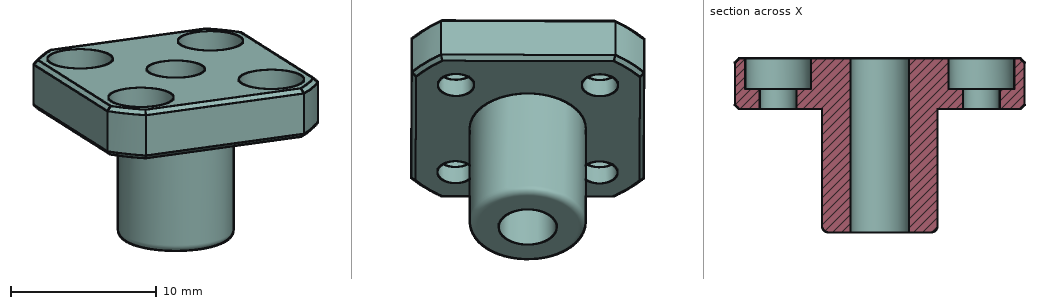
import cadquery as cq

corner_diameter = 20.0
square_side = 16.0
flange_thickness = 3.5
flange_chamfer = 0.3

total_height = 12.0
boss_diameter = 8.0
boss_length = total_height - flange_thickness
boss_fillet = 0.5
bore_diameter = 4.0

screw_circle_diameter = 14.0
screw_count = 4
screw_diameter = 2.5
counterbore_diameter = 4.5
counterbore_depth = 2.1


def make_flange():
    """Diamond-shaped plate with its underside at z = 0."""
    square = (
        cq.Workplane("XY")
        .rect(square_side, square_side)
        .extrude(flange_thickness)
        .rotate((0, 0, 0), (0, 0, 1), 45)
    )
    disc = cq.Workplane("XY").circle(corner_diameter / 2).extrude(flange_thickness)
    plate = square.intersect(disc)
    return plate.faces("<Z or >Z").edges().chamfer(flange_chamfer)


def make_boss():
    """Cylinder hanging below the flange, rounded at its free end."""
    boss = cq.Workplane("XY").circle(boss_diameter / 2).extrude(-boss_length)
    return boss.faces("<Z").edges().fillet(boss_fillet)


def cut_holes(body):
    """Central through bore and the ring of counterbored screw holes."""
    bored = body.faces(">Z").workplane(origin=(0, 0, 0)).hole(bore_diameter)
    return (
        bored.faces(">Z")
        .workplane(origin=(0, 0, 0))
        .polarArray(screw_circle_diameter / 2, 0, 360, screw_count)
        .cboreHole(screw_diameter, counterbore_diameter, counterbore_depth)
    )


result = cut_holes(make_flange().union(make_boss()))